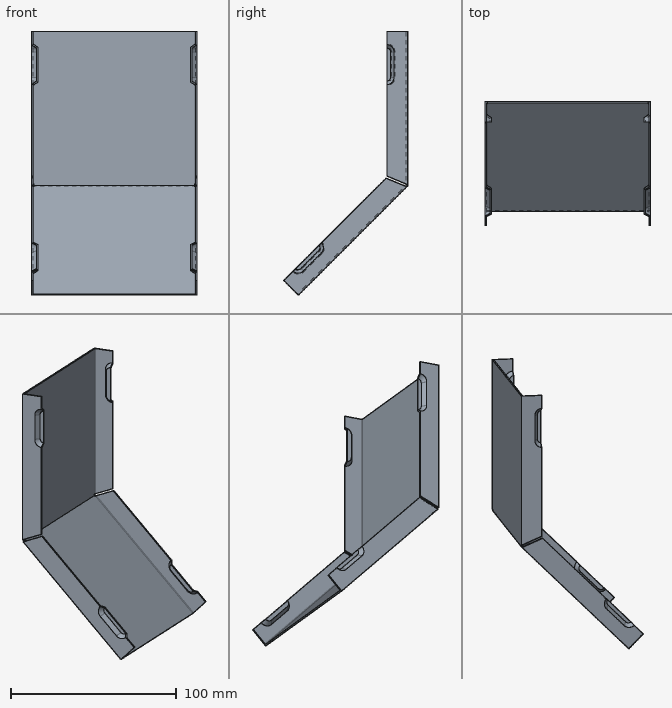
import cadquery as cq
import math

width = 100.0
height = 159.2
bend_angle = 45.0
sheet = 1.0
flange_depth = 12.5
inner_bend_radius = 0.3

leg_length = height / (1 + math.cos(math.radians(bend_angle)))
miter_slope = math.tan(math.radians(bend_angle / 2))

slit_width = 1.3
slit_reach = 1.5
slit_rise = slit_width / 2 / math.cos(math.radians(bend_angle / 2))

dent_length = 24.2
dent_reach = 4.3
dent_overhang = 5.5
dent_depth = 3.0
dent_corner = 4.5
dent_taper = 35.0
dent_from_end = 20.0


def leg_section(depth, rise, thickness):
    """Slab along X with its lower end cut to the miter plane, raised by rise."""
    outline = [
        (0, rise),
        (0, leg_length),
        (-depth, leg_length),
        (-depth, rise + depth * miter_slope),
    ]
    return cq.Workplane("YZ").polyline(outline).close().extrude(thickness)


def dent_form(margin, depth):
    """Tapered round-cornered block growing in +X from the left outer face."""
    profile = cq.Sketch().rect(dent_reach + dent_overhang + 2 * margin, dent_length + 2 * margin)
    profile = profile.vertices().fillet(dent_corner + margin)
    dent_middle = -flange_depth + (dent_reach - dent_overhang) / 2
    return (
        cq.Workplane("YZ", origin=(0, dent_middle, leg_length - dent_from_end))
        .placeSketch(profile)
        .extrude(depth, taper=dent_taper)
    )


def mirror_to_right(body):
    """Copy of a left-hand body for the right-hand flange."""
    return body.mirror("YZ").translate((width, 0, 0))


def make_channel():
    """Plain back panel with a flange along each side, rounded inside the bends."""
    left = leg_section(flange_depth, slit_rise, sheet)
    right = left.translate((width - sheet, 0, 0))
    channel = leg_section(sheet, slit_rise, width).union(left).union(right)
    inner_corner = cq.selectors.BoxSelector(
        (sheet / 2, -1.5 * sheet, 0),
        (width - sheet / 2, -sheet / 2, leg_length),
    )
    return channel.edges("|Z").edges(inner_corner).fillet(inner_bend_radius)


def make_leg():
    """Upright leg: channel with a bend strip at its foot and a hollow dent in each flange."""
    bend_strip = leg_section(sheet, 0, width - 2 * slit_reach).translate((slit_reach, 0, 0))
    wall_margin = sheet / math.cos(math.radians(dent_taper))
    inside = leg_section(flange_depth, slit_rise, width / 2)
    left_shell = dent_form(wall_margin, dent_depth + sheet).intersect(inside)
    left_hollow = dent_form(0, dent_depth)

    leg = make_channel().union(bend_strip)
    leg = leg.union(left_shell).union(mirror_to_right(left_shell))
    return leg.cut(left_hollow).cut(mirror_to_right(left_hollow))


upper_leg = make_leg()
lower_leg = upper_leg.mirror("XY").rotate((0, 0, 0), (1, 0, 0), -bend_angle)
result = upper_leg.union(lower_leg)